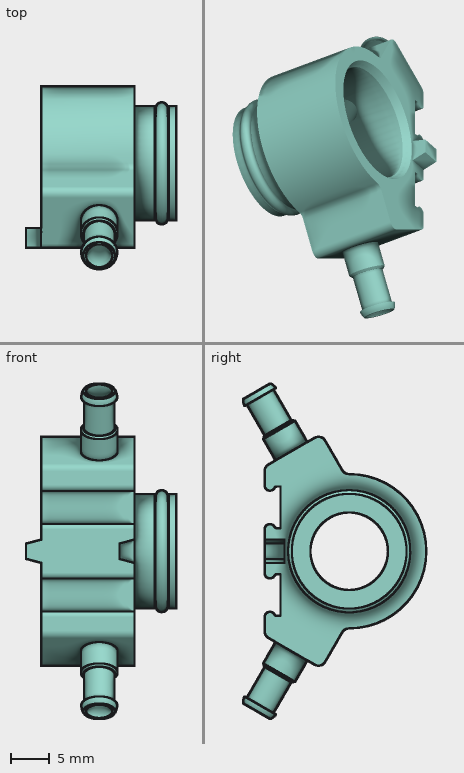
import cadquery as cq
import math

overall_height = 43.55

body_length = 12.1
ring_radius = 10.0
mount_y = -10.97
nozzle_tilt = 30.0
shoulder_height = 15.0
shoulder_back = 4.5
corner_radius = 1.0
inner_corner_radius = 1.0

slot_floor_y = -8.93
slot_inner_z = 3.0
slot_outer_z = 8.35
lip_radius = 0.7
lip_height = 0.52
lip_root_radius = 0.25

key_length = 1.95
key_depth = 2.6
key_root_half = 1.52
key_tip_half = 1.0

bore_radius = 15.05 / 2
throat_radius = 10.0 / 2
throat_round = 2.0
bore_depth = 9.65
mouth_chamfer = 0.55
mouth_chamfer_length = 1.0

spigot_radius = 14.9 / 2
spigot_length = 5.45
seal_radius = 0.8
seal_centre_radius = 14.3 / 2
seal_x = body_length + 3.53
groove_width = 1.85
groove_radius = 6.55

nozzle_x = 7.55
nozzle_base_radius = 4.8 / 2
nozzle_tube_radius = 4.0 / 2
nozzle_bore_radius = 3.4 / 2
base_top = 18.15
base_chamfer = 0.3
bead_radius = 2.35
bead_bottom = 23.1
bead_mid = 23.55
bead_mid_radius = 2.25
nozzle_rim_radius = 2.05
tilt = math.radians(nozzle_tilt)
nozzle_top = (overall_height / 2 - nozzle_rim_radius * math.sin(tilt)) / math.cos(tilt)
nozzle_root = 10.9
nozzle_bore_start = 6.55

total_length = body_length + spigot_length
overlap = 0.45


def x_cylinder(radius, start, length):
    return cq.Workplane("YZ").workplane(offset=start).circle(radius).extrude(length)


def make_shoulder():
    """Upper shoulder: perpendicular flank and nozzle face, cut off at the mounting face."""
    sin_tilt = math.sin(tilt)
    cos_tilt = math.cos(tilt)
    flank_foot = (shoulder_back * cos_tilt, shoulder_back * sin_tilt)
    crest = (
        flank_foot[0] - shoulder_height * sin_tilt,
        flank_foot[1] + shoulder_height * cos_tilt,
    )
    front_corner_z = (shoulder_height + mount_y * sin_tilt) / cos_tilt
    outline = [flank_foot, crest, (mount_y, front_corner_z), (mount_y, 0), (0, 0)]
    shoulder = cq.Workplane("YZ").polyline(outline).close().extrude(body_length)
    corners = cq.selectors.BoxSelector(
        (-overlap, mount_y - overlap, front_corner_z - overlap),
        (body_length + overlap, crest[0] + overlap, crest[1] + overlap),
    )
    return shoulder.edges("|X").edges(corners).fillet(corner_radius)


def make_slot():
    """Upper mounting slot, narrowed at its mouth by two rounded lips."""
    lip_y = mount_y + lip_radius
    slot = (
        cq.Workplane("YZ")
        .polyline([
            (slot_floor_y, slot_inner_z),
            (slot_floor_y, slot_outer_z),
            (mount_y - overlap, slot_outer_z),
            (mount_y - overlap, slot_inner_z),
        ])
        .close()
        .extrude(body_length)
    )
    lip_offset = lip_radius - lip_height
    for lip_z in (slot_inner_z - lip_offset, slot_outer_z + lip_offset):
        lip = cq.Workplane("YZ").center(lip_y, lip_z).circle(lip_radius).extrude(body_length)
        slot = slot.cut(lip)
        slot = slot.union(lip_corner(lip_z))
    root_y = lip_y + math.sqrt(lip_radius**2 - lip_offset**2)
    for root_z in (slot_inner_z, slot_outer_z):
        root = cq.selectors.NearestToPointSelector((body_length / 2, root_y, root_z))
        slot = slot.edges("|X").edges(root).fillet(lip_root_radius)
    return slot


def lip_corner(lip_z):
    """Sliver that rounds the lip off where it meets the mounting face."""
    toward_slot = 1 if lip_z < (slot_inner_z + slot_outer_z) / 2 else -1
    block = (
        cq.Workplane("YZ")
        .polyline([
            (mount_y - overlap, lip_z),
            (mount_y + lip_radius, lip_z),
            (mount_y + lip_radius, lip_z + toward_slot * lip_radius),
            (mount_y - overlap, lip_z + toward_slot * lip_radius),
        ])
        .close()
        .extrude(body_length)
    )
    lip = (
        cq.Workplane("YZ").center(mount_y + lip_radius, lip_z).circle(lip_radius).extrude(body_length)
    )
    return block.cut(lip)


def make_key(root_x):
    """Tapered key standing on the plane x = root_x and pointing toward -X."""
    return (
        cq.Workplane("XZ", origin=(0, mount_y, 0))
        .polyline([
            (root_x, -key_root_half),
            (root_x - key_length, -key_tip_half),
            (root_x - key_length, key_tip_half),
            (root_x, key_root_half),
        ])
        .close()
        .extrude(-key_depth)
    )


def make_spigot():
    spigot = x_cylinder(spigot_radius, body_length - overlap, spigot_length + overlap)
    groove_start = seal_x - groove_width / 2
    groove = x_cylinder(ring_radius, groove_start, groove_width)
    groove = groove.cut(x_cylinder(groove_radius, groove_start, groove_width))
    seal = cq.Workplane(
        cq.Solid.makeTorus(
            seal_centre_radius, seal_radius, cq.Vector(seal_x, 0, 0), cq.Vector(1, 0, 0)
        )
    )
    return spigot.cut(groove).union(seal)


def make_bore():
    """Main bore with chamfered mouth, flat floor and rounded entry into the throat."""
    round_mid = throat_round * (1 - math.sqrt(0.5))
    return (
        cq.Workplane("XY")
        .moveTo(0, 0)
        .lineTo(0, bore_radius + mouth_chamfer)
        .lineTo(mouth_chamfer_length, bore_radius)
        .lineTo(bore_depth, bore_radius)
        .lineTo(bore_depth, throat_radius + throat_round)
        .threePointArc(
            (bore_depth + round_mid, throat_radius + round_mid),
            (bore_depth + throat_round, throat_radius),
        )
        .lineTo(total_length, throat_radius)
        .lineTo(total_length, 0)
        .close()
        .revolve(360, (0, 0, 0), (1, 0, 0))
    )


def place_nozzle(upright):
    """Tilt an upright nozzle shape toward -Y and move it along the housing."""
    return upright.rotate((0, 0, 0), (1, 0, 0), nozzle_tilt).translate((nozzle_x, 0, 0))


def make_nozzle():
    nozzle = (
        cq.Workplane("XZ")
        .moveTo(0, nozzle_root)
        .lineTo(nozzle_base_radius, nozzle_root)
        .lineTo(nozzle_base_radius, base_top)
        .lineTo(nozzle_base_radius - base_chamfer, base_top + base_chamfer)
        .lineTo(nozzle_tube_radius, base_top + base_chamfer)
        .lineTo(nozzle_tube_radius, bead_bottom)
        .lineTo(bead_radius, bead_bottom)
        .threePointArc((bead_mid_radius, bead_mid), (nozzle_rim_radius, nozzle_top))
        .lineTo(0, nozzle_top)
        .close()
        .revolve(360, (0, 0, 0), (0, 1, 0))
    )
    return place_nozzle(nozzle)


def make_nozzle_bore():
    bore = (
        cq.Workplane("XY")
        .workplane(offset=nozzle_bore_start)
        .circle(nozzle_bore_radius)
        .extrude(nozzle_top - nozzle_bore_start)
    )
    return place_nozzle(bore)


def both_sides(upper):
    """The upper shape together with its mirror image below the XY plane."""
    return upper.union(upper.mirror("XY"))


housing = x_cylinder(ring_radius, 0, body_length).union(both_sides(make_shoulder()))

flank_reach = math.sqrt(ring_radius**2 - shoulder_back**2)
inner_corner_y = shoulder_back * math.cos(tilt) - flank_reach * math.sin(tilt)
inner_corner_z = shoulder_back * math.sin(tilt) + flank_reach * math.cos(tilt)
for side in (1, -1):
    inner_corner = cq.selectors.NearestToPointSelector(
        (body_length / 2, inner_corner_y, side * inner_corner_z)
    )
    housing = housing.edges("|X").edges(inner_corner).fillet(inner_corner_radius)

housing = housing.cut(both_sides(make_slot()))
housing = housing.cut(make_key(body_length)).union(make_key(0))
housing = housing.union(make_spigot()).union(both_sides(make_nozzle()))
result = housing.cut(make_bore()).cut(both_sides(make_nozzle_bore()))